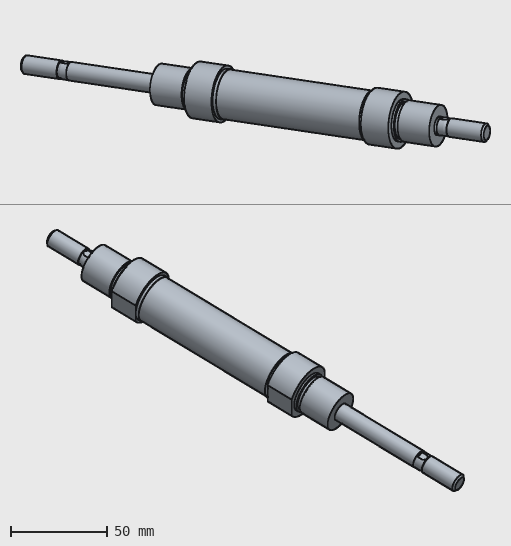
import cadquery as cq

ROD_LENGTH = 268.0
ROD_DIAMETER = 10.0
ROD_RADIUS = ROD_DIAMETER / 2
ROD_TIP_CHAMFER = 1.0
THREAD_LENGTH = 21.2
RELIEF_RADIUS = 4.3
TAPER_END = 23.0
ROD_NECK_RADIUS = 4.8
FLATS_END = 26.0
FLATS_WIDTH = 8.8
NECK_END = 26.8

BARREL_START_X = 117.7
BARREL_LENGTH = 82.8
BARREL_RADIUS = 13.0
BARREL_MIDDLE_X = BARREL_START_X + BARREL_LENGTH / 2

SPIGOT_LENGTH = 2.0
SPIGOT_RADIUS = 13.5
FLANGE_LENGTH = 15.8
FLANGE_RADIUS = 15.0
FLANGE_FLAT_Y = 13.5
SHOULDER_LENGTH = 1.3
SHOULDER_RADIUS = 11.3
NECK_LENGTH = 2.1
NECK_RADIUS = 10.0
COLLAR_LENGTH = 18.2
COLLAR_RADIUS = 11.0


def cylinder(start_x, length, radius):
    """Cylinder on the X axis."""
    return cq.Workplane("YZ", origin=(start_x, 0, 0)).circle(radius).extrude(length)


def make_rod_end_cut():
    """Material removed at the x = 0 end of the rod.

    The thread relief tapers up to a round neck, which has two wrench flats facing +Z and -Z.
    """
    blank = cylinder(THREAD_LENGTH, NECK_END - THREAD_LENGTH, ROD_RADIUS)
    neck = (
        cq.Workplane("XY")
        .moveTo(THREAD_LENGTH, 0)
        .lineTo(THREAD_LENGTH, RELIEF_RADIUS)
        .lineTo(TAPER_END, ROD_NECK_RADIUS)
        .lineTo(NECK_END, ROD_NECK_RADIUS)
        .lineTo(NECK_END, 0)
        .close()
        .revolve(360, (0, 0, 0), (1, 0, 0))
    )
    beyond_flats = cylinder(THREAD_LENGTH, FLATS_END - THREAD_LENGTH, ROD_RADIUS).cut(
        cq.Workplane("XY").box(ROD_LENGTH, 2 * ROD_RADIUS, FLATS_WIDTH)
    )
    return blank.cut(neck).union(beyond_flats)


def make_rod():
    """Through rod with the same thread, relief and wrench flats at both tips."""
    rod = cylinder(0, ROD_LENGTH, ROD_RADIUS).faces("<X or >X").chamfer(ROD_TIP_CHAMFER)
    end_cut = make_rod_end_cut()
    return rod.cut(end_cut).cut(end_cut.mirror("YZ").translate((ROD_LENGTH, 0, 0)))


def make_barrel():
    """Plain barrel around the rod."""
    barrel = cylinder(BARREL_START_X, BARREL_LENGTH, BARREL_RADIUS)
    return barrel.cut(cylinder(BARREL_START_X, BARREL_LENGTH, ROD_RADIUS))


def make_head():
    """Head at the +X end of a barrel centred on x = 0: round steps on a common bore."""
    barrel_end = BARREL_LENGTH / 2
    steps = [
        (SPIGOT_LENGTH, SPIGOT_RADIUS),
        (FLANGE_LENGTH, FLANGE_RADIUS),
        (SHOULDER_LENGTH, SHOULDER_RADIUS),
        (NECK_LENGTH, NECK_RADIUS),
        (COLLAR_LENGTH, COLLAR_RADIUS),
    ]
    head = cq.Workplane("YZ")
    step_start = barrel_end
    for length, radius in steps:
        head = head.union(cylinder(step_start, length, radius))
        step_start += length
    head_length = step_start - barrel_end

    beyond_flat = cq.Workplane("XY", origin=(barrel_end, FLANGE_FLAT_Y, 0)).box(
        head_length, FLANGE_RADIUS, 2 * FLANGE_RADIUS, centered=(False, False, True)
    )
    bore = cylinder(barrel_end, head_length, ROD_RADIUS)
    return head.cut(beyond_flat).cut(bore)


rod = make_rod()
barrel = make_barrel()
head = make_head()
heads = [side.translate((BARREL_MIDDLE_X, 0, 0)).val() for side in (head, head.mirror("YZ"))]

result = cq.Compound.makeCompound([rod.val(), barrel.val(), *heads])